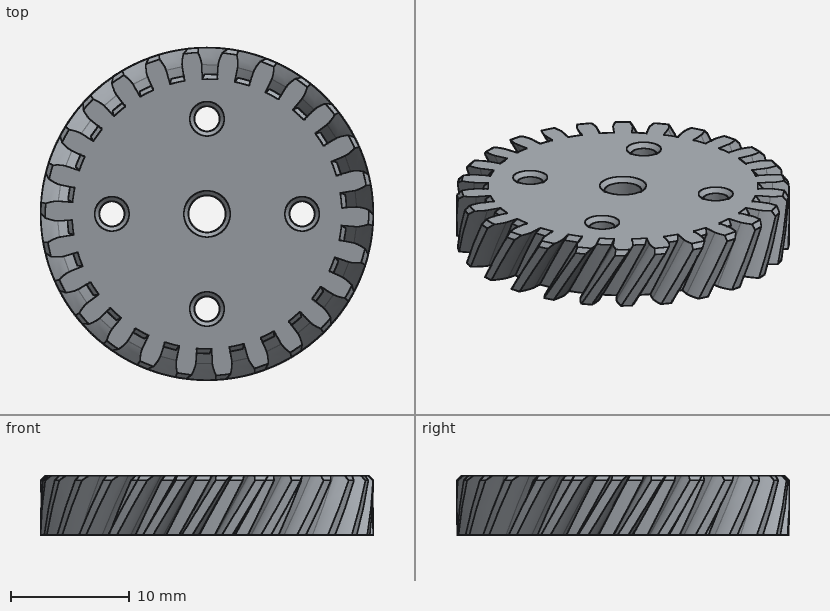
import math

import cadquery as cq

MODULE = 1.0
TOOTH_COUNT = 26
PRESSURE_ANGLE = 14.5
HELIX_ANGLE = 30.0
FACE_WIDTH = 5.0
ADDENDUM = MODULE
DEDENDUM = 1.25 * MODULE

BORE_DIAMETER = 3.1
BOLT_HOLE_DIAMETER = 2.1
BOLT_CIRCLE_DIAMETER = 16.0
BOLT_HOLE_COUNT = 4

CHAMFER = 0.4
TOOTH_EMBED = 0.5
INVOLUTE_POINTS = 6

pitch_radius = MODULE * TOOTH_COUNT / 2
tip_radius = pitch_radius + ADDENDUM
root_radius = pitch_radius - DEDENDUM
base_radius = pitch_radius * math.cos(math.radians(PRESSURE_ANGLE))
foot_radius = root_radius - CHAMFER - TOOTH_EMBED
tooth_pitch_angle = 360 / TOOTH_COUNT
twist_angle = math.degrees(FACE_WIDTH * math.tan(math.radians(HELIX_ANGLE)) / pitch_radius)


def involute(angle):
    """Polar angle swept by the involute at the given pressure angle (radians)."""
    return math.tan(angle) - angle


def half_tooth_angle(radius):
    """Half of the angle a tooth covers at a radius on or above the base circle (radians)."""
    at_pitch = math.pi / (2 * TOOTH_COUNT)
    flank_angle = math.acos(base_radius / radius)
    return at_pitch + involute(math.radians(PRESSURE_ANGLE)) - involute(flank_angle)


def polar(radius, angle):
    return (radius * math.cos(angle), radius * math.sin(angle))


def chamfered_disc(radius):
    """Disc of the full face width with its top rim chamfered."""
    return cq.Workplane("XY").circle(radius).extrude(FACE_WIDTH).faces(">Z").chamfer(CHAMFER)


def make_tooth():
    """Helical tooth on +X: radial flanks up to the base circle, involute flanks above it."""
    base_half = half_tooth_angle(base_radius)
    tip_half = half_tooth_angle(tip_radius)
    step = (tip_radius - base_radius) / (INVOLUTE_POINTS - 1)
    radii = [base_radius + step * i for i in range(INVOLUTE_POINTS)]
    lower_flank = [polar(r, -half_tooth_angle(r)) for r in radii]
    upper_flank = [polar(r, half_tooth_angle(r)) for r in reversed(radii)]
    return (
        cq.Workplane("XY")
        .moveTo(*polar(foot_radius, -base_half))
        .lineTo(*lower_flank[0])
        .spline(lower_flank[1:], includeCurrent=True)
        .threePointArc((tip_radius, 0), polar(tip_radius, tip_half))
        .spline(upper_flank[1:], includeCurrent=True)
        .lineTo(*polar(foot_radius, base_half))
        .close()
        .twistExtrude(FACE_WIDTH, twist_angle)
    )


def make_gear():
    """Core disc with the ring of teeth; root floors and tooth tips share the top chamfer."""
    tooth = make_tooth().intersect(chamfered_disc(tip_radius))
    gear = chamfered_disc(root_radius)
    for i in range(TOOTH_COUNT):
        gear = gear.union(tooth.rotate((0, 0, 0), (0, 0, 1), i * tooth_pitch_angle))
    return gear


def hole_cutter(diameter):
    """Through hole with a chamfered mouth at the top face."""
    radius = diameter / 2
    mouth_radius = radius + CHAMFER
    return (
        cq.Workplane("XZ")
        .polyline([
            (0, 0),
            (radius, 0),
            (radius, FACE_WIDTH - CHAMFER),
            (mouth_radius, FACE_WIDTH),
            (0, FACE_WIDTH),
        ])
        .close()
        .revolve(360, (0, 0), (0, 1))
    )


def cut_holes(gear):
    gear = gear.cut(hole_cutter(BORE_DIAMETER))
    bolt_hole = hole_cutter(BOLT_HOLE_DIAMETER).translate((BOLT_CIRCLE_DIAMETER / 2, 0, 0))
    for i in range(BOLT_HOLE_COUNT):
        gear = gear.cut(bolt_hole.rotate((0, 0, 0), (0, 0, 1), i * 360 / BOLT_HOLE_COUNT))
    return gear


result = cut_holes(make_gear())